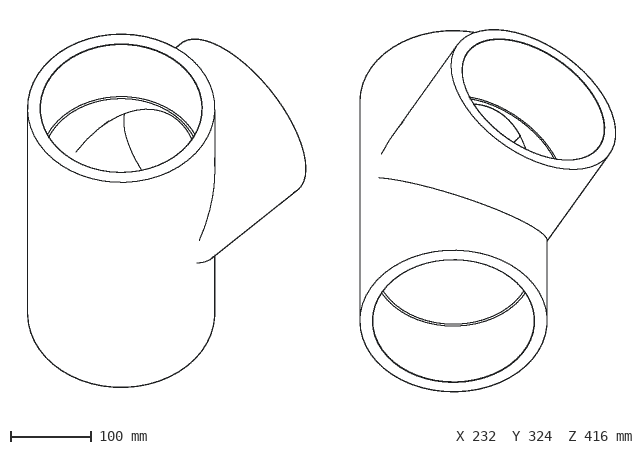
import cadquery as cq

run_length = 416.0
branch_length = run_length / 2
outer_diameter = 232.0
bore_diameter = 194.0

socket_diameter = 200.0
socket_depth = 106.0
mouth_chamfer = 0.5


def run_cylinder(diameter):
    """Vertical cylinder along the whole run, centred on the origin."""
    return cq.Workplane("XY").circle(diameter / 2).extrude(run_length / 2, both=True)


def branch_cylinder(diameter):
    """Cylinder along +Y from the run axis to the branch face."""
    return cq.Workplane("XZ").circle(diameter / 2).extrude(-branch_length)


def tee(diameter):
    """Run and branch cylinders of equal diameter, joined."""
    return run_cylinder(diameter).union(branch_cylinder(diameter))


def socket(mouth_distance, direction):
    """Chamfered socket whose mouth lies at a distance from the origin along a direction."""
    outward = cq.Vector(*direction)
    mouth_center = outward * mouth_distance
    inward = outward * -1
    radius = socket_diameter / 2
    cylinder = cq.Solid.makeCylinder(radius, socket_depth, mouth_center, inward)
    chamfer = cq.Solid.makeCone(radius + mouth_chamfer, radius, mouth_chamfer, mouth_center, inward)
    return cq.Workplane(cylinder).union(cq.Workplane(chamfer))


body = tee(outer_diameter).cut(tee(bore_diameter))

body = body.cut(socket(run_length / 2, (0, 0, 1)))
body = body.cut(socket(run_length / 2, (0, 0, -1)))
body = body.cut(socket(branch_length, (0, 1, 0)))

result = body